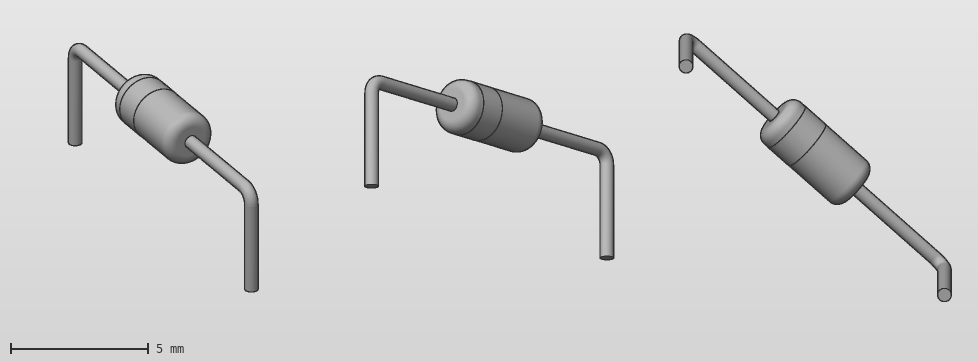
import cadquery as cq

overall_length = 13.2
overall_height = 5.02
lead_diameter = 0.5
bend_radius = 0.5
body_length = 4.0
body_diameter = 2.0
body_edge_radius = 0.4
band_diameter = 2.02
band_width = 1.0
band_offset = 0.6

lead_radius = lead_diameter / 2
leg_x = overall_length / 2 - lead_radius
leg_bottom_z = band_diameter / 2 - overall_height
body_start_x = -body_length / 2


def cylinder_along_x(start_x, length, diameter):
    return cq.Workplane("YZ", origin=(start_x, 0, 0)).circle(diameter / 2).extrude(length)


def make_body():
    body = cylinder_along_x(body_start_x, body_length, body_diameter)
    body = body.edges("%CIRCLE").fillet(body_edge_radius)
    band = cylinder_along_x(body_start_x + band_offset, band_width, band_diameter)
    return body.union(band)


def make_lead():
    """Lead from the body centre out to -X, bent down into a vertical leg."""
    straight_end_x = -leg_x + bend_radius
    straight = cylinder_along_x(straight_end_x, -straight_end_x, lead_diameter)
    leg = (
        cq.Workplane("XY", origin=(-leg_x, 0, leg_bottom_z))
        .circle(lead_radius)
        .extrude(-bend_radius - leg_bottom_z)
    )
    bend = (
        cq.Workplane("XY", origin=(-leg_x, 0, -bend_radius))
        .circle(lead_radius)
        .revolve(90, (bend_radius, 0, 0), (bend_radius, 1, 0))
    )
    return straight.union(bend).union(leg)


left_lead = make_lead()
right_lead = left_lead.mirror("YZ")
result = make_body().union(left_lead).union(right_lead)